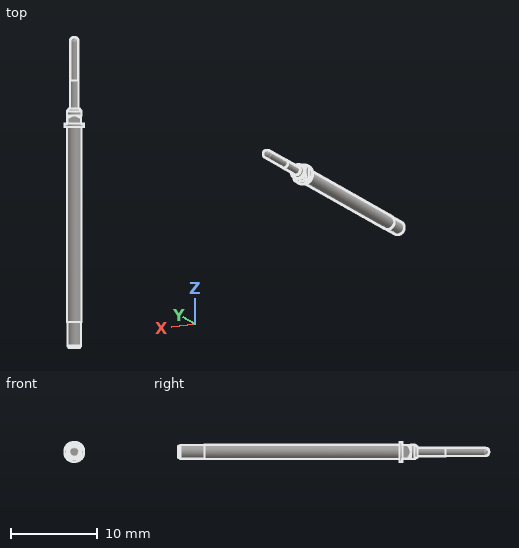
import cadquery as cq
import math

total_length = 35.8
shaft_end = 5.0
neck_end = 8.25
square_start = 9.02
flange_front = 10.0
flange_thickness = 0.35
flange_back = flange_front + flange_thickness
tail_length = 3.0
tail_start = total_length - tail_length

shaft_radius = 0.95 / 2
neck_radius = 1.0 / 2
body_radius = 1.7 / 2
tail_radius = 1.6 / 2
flange_radius = 2.3 / 2

collar_bevel_width = 0.25
collar_bevel_length = 0.35
tail_bevel_width = 0.18
tail_bevel_length = 0.3

square_side = 1.6
square_half_diagonal = square_side / math.sqrt(2)


def along(distance_from_tip):
    """Y position of a point on the axis, with the pin centred on the origin."""
    return total_length / 2 - distance_from_tip


def revolve_about_pin_axis(outline):
    """Close a half outline, with X as the radius, and revolve it about the Y axis."""
    return outline.close().revolve(360, (0, 0), (0, 1))


def make_round_parts():
    """Hemispherical tip, shaft, neck, collar, flange, body and bevelled tail."""
    arc_middle = shaft_radius * math.sqrt(0.5)
    outline = (
        cq.Workplane("XY")
        .moveTo(0, along(0))
        .threePointArc(
            (arc_middle, along(shaft_radius - arc_middle)),
            (shaft_radius, along(shaft_radius)),
        )
        .lineTo(shaft_radius, along(shaft_end))
        .lineTo(neck_radius, along(shaft_end))
        .lineTo(neck_radius, along(neck_end))
        .lineTo(body_radius - collar_bevel_width, along(neck_end))
        .lineTo(body_radius, along(neck_end + collar_bevel_length))
        .lineTo(body_radius, along(square_start))
        .lineTo(square_side / 2, along(square_start))
        .lineTo(square_side / 2, along(flange_front))
        .lineTo(flange_radius, along(flange_front))
        .lineTo(flange_radius, along(flange_back))
        .lineTo(body_radius, along(flange_back))
        .lineTo(body_radius, along(tail_start))
        .lineTo(tail_radius, along(tail_start))
        .lineTo(tail_radius, along(total_length - tail_bevel_length))
        .lineTo(tail_radius - tail_bevel_width, along(total_length))
        .lineTo(0, along(total_length))
    )
    return revolve_about_pin_axis(outline)


def make_square_section():
    """Square block whose front corners are turned down by a 45 degree cone."""
    block_length = flange_front - square_start
    block = (
        cq.Workplane("XZ", origin=(0, along(square_start), 0))
        .rect(square_side, square_side)
        .extrude(block_length)
    )
    cone_length = square_half_diagonal - square_side / 2
    turned = (
        cq.Workplane("XY")
        .moveTo(0, along(square_start))
        .lineTo(square_side / 2, along(square_start))
        .lineTo(square_half_diagonal, along(square_start + cone_length))
        .lineTo(square_half_diagonal, along(flange_front))
        .lineTo(0, along(flange_front))
    )
    return block.intersect(revolve_about_pin_axis(turned))


result = make_round_parts().union(make_square_section())